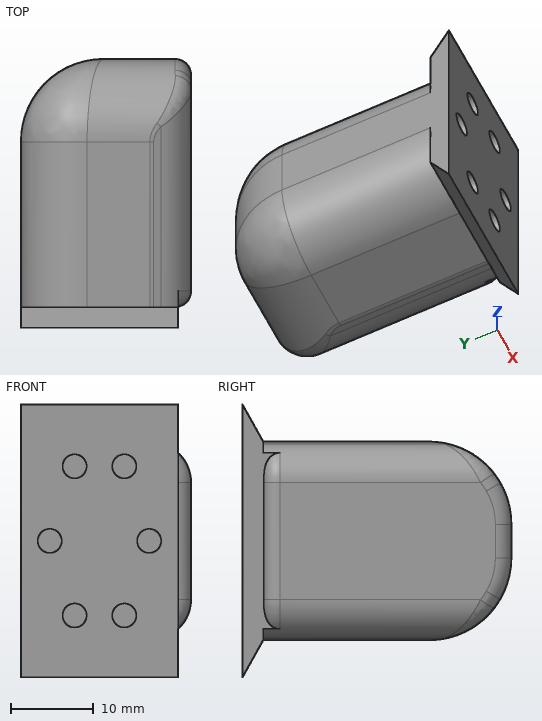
import cadquery as cq
import math

plate_width = 19.0
plate_height = 33.0
plate_thickness = 2.5

body_width = 20.6
body_height = 24.02
body_end = 32.5
end_radius = 10.0
side_radius = 8.0

wall_flat_half_height = 7.05
wall_arc_radius = 4.82
shoulder_angle = math.radians(13.5)
rim_radius = 1.98

hole_diameter = 2.9
hole_depth = 9.9
hole_step_x = 3.0
hole_step_z = 9.0

overlap = 3.3

body_half_height = body_height / 2


def make_plate():
    """Wedge that narrows in height from its free face to the height of the body."""
    half_wide = plate_height / 2
    outline = [
        (0, -half_wide),
        (plate_thickness, -body_half_height),
        (plate_thickness, body_half_height),
        (0, half_wide),
    ]
    return cq.Workplane("YZ").polyline(outline).close().extrude(plate_width)


def make_rounded_block():
    """Overlong block with a rounded far end and rounded edges along its -X side.

    A smaller core is grown by the side radius, so the side rounding runs on
    smoothly over the mitred corners of the far end.
    """
    core_height = body_height - 2 * side_radius
    core = (
        cq.Workplane("XY")
        .box(body_width, body_end - side_radius, core_height, centered=(False, False, True))
        .translate((side_radius, 0, 0))
    )
    core = core.faces(">Y").edges("|X or <X").fillet(end_radius - side_radius)
    return core.union(core.shell(side_radius, kind="arc"))


def make_wall_envelope():
    """Prism along Y, starting at the plate, whose +X side is the bulging wall profile."""
    arc_x = body_width - wall_arc_radius
    sine = math.sin(shoulder_angle)
    cosine = math.cos(shoulder_angle)
    diagonal = math.pi / 4
    tangent_x = arc_x + wall_arc_radius * sine
    tangent_z = wall_flat_half_height + wall_arc_radius * cosine
    middle_x = arc_x + wall_arc_radius * math.cos(diagonal)
    middle_z = wall_flat_half_height + wall_arc_radius * math.sin(diagonal)
    outer_z = body_half_height + overlap
    outer_x = tangent_x - (outer_z - tangent_z) * cosine / sine
    return (
        cq.Workplane("XZ", origin=(0, plate_thickness, 0))
        .moveTo(-overlap, -outer_z)
        .lineTo(outer_x, -outer_z)
        .lineTo(tangent_x, -tangent_z)
        .threePointArc((middle_x, -middle_z), (body_width, -wall_flat_half_height))
        .lineTo(body_width, wall_flat_half_height)
        .threePointArc((middle_x, middle_z), (tangent_x, tangent_z))
        .lineTo(outer_x, outer_z)
        .lineTo(-overlap, outer_z)
        .close()
        .extrude(-(body_end - plate_thickness + overlap))
    )


def make_body():
    """Block trimmed to the bulging wall, with the rim of that wall rounded."""
    trimmed = make_rounded_block().intersect(make_wall_envelope())
    body = trimmed.faces(">Z").edges(">X").fillet(rim_radius)

    round_back = body.faces("<Y").edges().fillet(rim_radius)
    above_plate = cq.Workplane("XY").box(
        plate_width, body_end, body_height, centered=(False, False, True)
    )
    return body.intersect(above_plate).union(round_back)


def make_holes():
    """Two holes on the middle line and four in a rectangle around the plate centre."""
    center_x = plate_width / 2
    hole_centers = [(center_x + side * 2 * hole_step_x, 0) for side in (-1, 1)]
    for side_x in (-1, 1):
        for side_z in (-1, 1):
            hole_centers.append((center_x + side_x * hole_step_x, side_z * hole_step_z))
    return (
        cq.Workplane("XZ")
        .pushPoints(hole_centers)
        .circle(hole_diameter / 2)
        .extrude(-hole_depth)
    )


result = make_plate().union(make_body()).cut(make_holes())